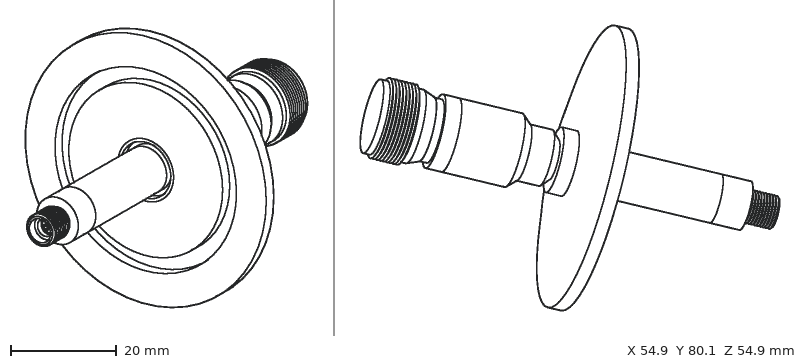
import cadquery as cq


OVERALL_LENGTH = 80.14

FLANGE_RADIUS = 27.43
FLANGE_THICKNESS = 5.05
FLANGE_RIM_THICKNESS = 2.6
FLANGE_BACK_RADIUS = 17.5
GROOVE_OUTER_RADIUS = 20.65
GROOVE_INNER_RADIUS = FLANGE_BACK_RADIUS
GROOVE_DEPTH = 2.4

COLLAR_RADIUS = 6.35
COLLAR_REAR = 8.1
COLLAR_RECESS_RADIUS = 5.7
COLLAR_RECESS_DEPTH = 1.6

TUBE_RADIUS = 4.76
TUBE_REAR = 0
TUBE_FRONT = -24.05
FRONT_SHOULDER = -29.97
FRONT_END = -35.92
FRONT_THREAD_ROOT_RADIUS = 2.85
FRONT_THREAD_RADIUS = 3.25
FRONT_THREAD_PITCH = 0.575
FRONT_THREAD_COUNT = 9
FRONT_THREAD_START = FRONT_END + 0.1
SOCKET_RADIUS = 2.4
SOCKET_DEPTH = 1.8

CONTACT_RADIUS = 1.75
CONTACT_BORE_DEPTH = 5.0
CONTACT_FACE_DEPTH = 3.0
CONTACT_NOSE_BASE_RADIUS = 1.45
CONTACT_NOSE_TIP_RADIUS = 0.65
CONTACT_NOSE_LENGTH = 1.0
CONTACT_HOLE_RADIUS = 0.35
CONTACT_HOLE_DEPTH = 2.0

SLEEVE_RADIUS = 7.2
SLEEVE_WAIST_RADIUS = 5.5
SLEEVE_FRONT_CHAMFER = 1.6
SLEEVE_WAIST_REAR = 14.2
SLEEVE_TAPER_REAR = 16.1
SLEEVE_REAR = 28.7
RING_REAR = 31.85

REAR_NECK_RADIUS = 6.2
REAR_NECK_END = 33.4
REAR_TAPER_RADIUS = 6.3
REAR_TAPER_END = 35.75
REAR_THREAD_ROOT_RADIUS = 7.2
REAR_THREAD_RADIUS = 7.85
REAR_THREAD_PITCH = 0.66
REAR_THREAD_COUNT = 9
REAR_THREAD_START = 37.0
REAR_END = FRONT_END + OVERALL_LENGTH


def turned(points):
    """Solid turned about the Y axis from a closed outline of (radius, y) points."""
    return cq.Workplane("XY").polyline(points).close().revolve(360, (0, 0), (0, 1))


def thread_points(root_radius, crest_radius, start, pitch, count):
    """Outline of a row of V-shaped thread ridges, running in the +Y direction."""
    points = [(root_radius, start)]
    for i in range(count):
        ridge_start = start + i * pitch
        points.append((crest_radius, ridge_start + pitch / 2))
        points.append((root_radius, ridge_start + pitch))
    return points


def make_flange():
    return turned([
        (COLLAR_RADIUS, 0),
        (GROOVE_INNER_RADIUS, 0),
        (GROOVE_INNER_RADIUS, GROOVE_DEPTH),
        (GROOVE_OUTER_RADIUS, GROOVE_DEPTH),
        (GROOVE_OUTER_RADIUS, 0),
        (FLANGE_RADIUS, 0),
        (FLANGE_RADIUS, FLANGE_RIM_THICKNESS),
        (FLANGE_BACK_RADIUS, FLANGE_THICKNESS),
        (COLLAR_RADIUS, FLANGE_THICKNESS),
    ])


def make_collar():
    return turned([
        (0, TUBE_REAR),
        (TUBE_RADIUS, TUBE_REAR),
        (TUBE_RADIUS, COLLAR_RECESS_DEPTH),
        (COLLAR_RECESS_RADIUS, COLLAR_RECESS_DEPTH),
        (COLLAR_RECESS_RADIUS, 0),
        (COLLAR_RADIUS, 0),
        (COLLAR_RADIUS, COLLAR_REAR),
        (0, COLLAR_REAR),
    ])


def make_tube():
    return turned([
        (0, TUBE_FRONT),
        (TUBE_RADIUS, TUBE_FRONT),
        (TUBE_RADIUS, TUBE_REAR),
        (0, TUBE_REAR),
    ])


def make_front_connector():
    socket_floor = FRONT_END + SOCKET_DEPTH
    bore_floor = FRONT_END + CONTACT_BORE_DEPTH
    thread = thread_points(
        FRONT_THREAD_ROOT_RADIUS, FRONT_THREAD_RADIUS,
        FRONT_THREAD_START, FRONT_THREAD_PITCH, FRONT_THREAD_COUNT,
    )
    return turned([
        (0, bore_floor),
        (CONTACT_RADIUS, bore_floor),
        (CONTACT_RADIUS, socket_floor),
        (SOCKET_RADIUS, socket_floor),
        (SOCKET_RADIUS, FRONT_END),
        (FRONT_THREAD_ROOT_RADIUS, FRONT_END),
        *thread,
        (FRONT_THREAD_ROOT_RADIUS, FRONT_SHOULDER),
        (TUBE_RADIUS, FRONT_SHOULDER),
        (TUBE_RADIUS, TUBE_FRONT),
        (0, TUBE_FRONT),
    ])


def make_contact():
    face = FRONT_END + CONTACT_FACE_DEPTH
    tip = face - CONTACT_NOSE_LENGTH
    rear = FRONT_END + CONTACT_BORE_DEPTH
    return turned([
        (0, tip + CONTACT_HOLE_DEPTH),
        (CONTACT_HOLE_RADIUS, tip + CONTACT_HOLE_DEPTH),
        (CONTACT_HOLE_RADIUS, tip),
        (CONTACT_NOSE_TIP_RADIUS, tip),
        (CONTACT_NOSE_BASE_RADIUS, face),
        (CONTACT_RADIUS, face),
        (CONTACT_RADIUS, rear),
        (0, rear),
    ])


def make_sleeve():
    return turned([
        (0, COLLAR_REAR),
        (SLEEVE_WAIST_RADIUS - SLEEVE_FRONT_CHAMFER, COLLAR_REAR),
        (SLEEVE_WAIST_RADIUS, COLLAR_REAR + SLEEVE_FRONT_CHAMFER),
        (SLEEVE_WAIST_RADIUS, SLEEVE_WAIST_REAR),
        (SLEEVE_RADIUS, SLEEVE_TAPER_REAR),
        (SLEEVE_RADIUS, SLEEVE_REAR),
        (0, SLEEVE_REAR),
    ])


def make_clamp_ring():
    return turned([
        (0, SLEEVE_REAR),
        (SLEEVE_RADIUS, SLEEVE_REAR),
        (SLEEVE_RADIUS, RING_REAR),
        (0, RING_REAR),
    ])


def make_rear_connector():
    thread = thread_points(
        REAR_THREAD_ROOT_RADIUS, REAR_THREAD_RADIUS,
        REAR_THREAD_START, REAR_THREAD_PITCH, REAR_THREAD_COUNT,
    )
    return turned([
        (0, RING_REAR),
        (REAR_NECK_RADIUS, RING_REAR),
        (REAR_NECK_RADIUS, REAR_NECK_END),
        (REAR_TAPER_RADIUS, REAR_NECK_END),
        (REAR_THREAD_ROOT_RADIUS, REAR_TAPER_END),
        *thread,
        (REAR_THREAD_ROOT_RADIUS, REAR_END),
        (0, REAR_END),
    ])


flange = make_flange()
collar = make_collar()
tube = make_tube()
front_connector = make_front_connector()
contact = make_contact()
sleeve = make_sleeve()
clamp_ring = make_clamp_ring()
rear_connector = make_rear_connector()

result = cq.Compound.makeCompound([
    flange.val(),
    collar.val(),
    tube.val(),
    front_connector.val(),
    contact.val(),
    sleeve.val(),
    clamp_ring.val(),
    rear_connector.val(),
])